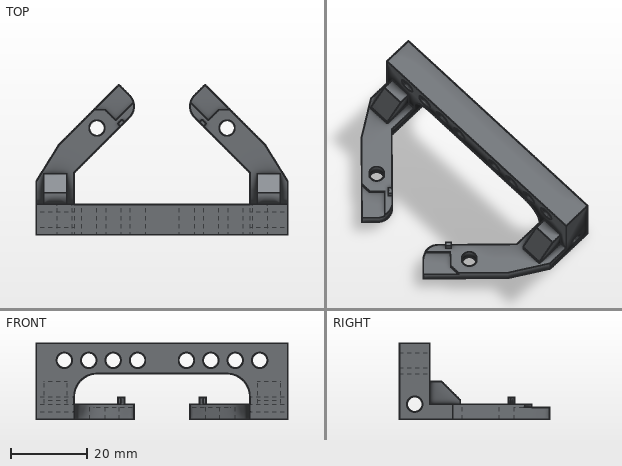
import cadquery as cq
import math

width = 66.0
height = 20.0
reach = 39.34
beam_depth = 8.0
hole_diameter = 4.0

leg_width = 10.0
opening_height = 12.0
opening_radius = 6.0

beam_hole_pitch = 6.4
beam_holes_per_side = 4
beam_hole_height = 15.5

cross_hole_y = beam_depth / 2
cross_hole_z = 4.0

arm_thickness = 4.0
arm_width = 8.0
foot_end_y = 14.0
arm_angle = math.radians(45)
tip_inset = 21.7
tip_radius = 4.0
outer_bend_inset = 6.0
arm_hole_inset = 15.95
arm_hole_y = 28.0

recess_depth = 0.8
recess_lip = 2.0
recess_start_y = 32.8
recess_corner_inset = 18.1

peg_length = 1.5
peg_width = 1.0
peg_height = 1.8
peg_distance_from_tip = 5.9

gusset_width = 6.0
gusset_end_y = 16.0
gusset_top_z = 10.0
gusset_nose_z = 5.0
gusset_flat_end_y = 11.0

left_x = -width / 2
arm_slope = math.tan(arm_angle)
tip = (left_x + tip_inset, reach)


def arm_point(back, across):
    """Point measured from the outer tip corner, back along the arm and across to its inner edge."""
    cos_a = math.cos(arm_angle)
    sin_a = math.sin(arm_angle)
    return (
        tip[0] - back * cos_a + across * sin_a,
        tip[1] - back * sin_a - across * cos_a,
    )


def prism(points, base_z, thickness):
    """Upright block with the given plan outline."""
    return cq.Workplane("XY").workplane(offset=base_z).polyline(points).close().extrude(thickness)


def make_beam():
    beam = cq.Workplane("XY").box(width, beam_depth, height, centered=(True, False, False))
    opening = (
        cq.Workplane("XY")
        .workplane(offset=-opening_height)
        .box(width - 2 * leg_width, beam_depth, 2 * opening_height, centered=(True, False, False))
        .edges("|Y and >Z")
        .fillet(opening_radius)
    )
    hole_points = []
    for side in (-1, 1):
        for index in range(1, beam_holes_per_side + 1):
            hole_points.append((side * index * beam_hole_pitch, beam_hole_height))
    holes = (
        cq.Workplane("XZ")
        .pushPoints(hole_points)
        .circle(hole_diameter / 2)
        .extrude(-beam_depth)
    )
    cross_hole = (
        cq.Workplane("YZ")
        .workplane(offset=left_x)
        .center(cross_hole_y, cross_hole_z)
        .circle(hole_diameter / 2)
        .extrude(width)
    )
    return beam.cut(opening).cut(holes).cut(cross_hole)


def make_arm_plate():
    foot_inner_x = left_x + leg_width
    inner_tip = arm_point(0, arm_width)
    inner_bend = (foot_inner_x, inner_tip[1] - (inner_tip[0] - foot_inner_x) * arm_slope)
    outer_bend_x = left_x + outer_bend_inset
    outer_bend = (outer_bend_x, tip[1] - (tip[0] - outer_bend_x) * arm_slope)
    outline = [
        (left_x, beam_depth),
        (left_x, foot_end_y),
        outer_bend,
        tip,
        inner_tip,
        inner_bend,
        (foot_inner_x, beam_depth),
    ]
    plate = prism(outline, 0, arm_thickness).edges("|Z and >X").fillet(tip_radius)
    hole = (
        cq.Workplane("XY")
        .center(left_x + arm_hole_inset, arm_hole_y)
        .circle(hole_diameter / 2)
        .extrude(arm_thickness)
    )
    return plate.cut(hole)


def make_recess():
    across = arm_width - recess_lip
    step_corner = (left_x + recess_corner_inset, recess_start_y)
    back_x = (tip[0] - step_corner[0]) * math.cos(arm_angle)
    back_y = (tip[1] - step_corner[1]) * math.sin(arm_angle)
    back = back_x + back_y
    outline = [
        tip,
        (tip[0] - (tip[1] - recess_start_y) / arm_slope, recess_start_y),
        step_corner,
        arm_point(back, across),
        arm_point(0, across),
    ]
    return prism(outline, arm_thickness - recess_depth, recess_depth)


def make_peg():
    near = peg_distance_from_tip
    far = near + peg_length
    inner = arm_width
    outer = arm_width - peg_width
    outline = [
        arm_point(near, inner),
        arm_point(near, outer),
        arm_point(far, outer),
        arm_point(far, inner),
    ]
    return prism(outline, arm_thickness, peg_height)


def make_gusset():
    profile = [
        (beam_depth, arm_thickness),
        (beam_depth, gusset_top_z),
        (gusset_flat_end_y, gusset_top_z),
        (gusset_end_y, gusset_nose_z),
        (gusset_end_y, arm_thickness),
    ]
    start_x = left_x + (leg_width - gusset_width) / 2
    return cq.Workplane("YZ").workplane(offset=start_x).polyline(profile).close().extrude(gusset_width)


left_arm = make_arm_plate().cut(make_recess()).union(make_peg()).union(make_gusset())
right_arm = left_arm.mirror("YZ")
result = make_beam().union(left_arm).union(right_arm)